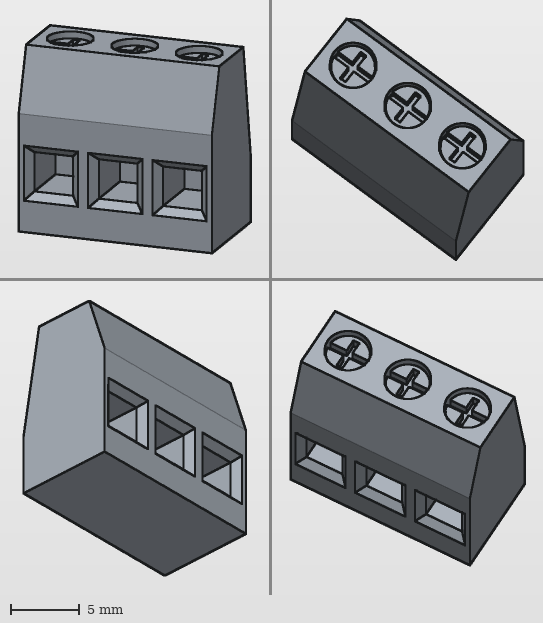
import cadquery as cq

pole_count = 3
length = 15.0
depth = 8.1
height = 13.8
top_width = 5.01
front_shoulder_height = 9.0
back_shoulder_height = 5.0
pole_pitch = length / pole_count

window_size = 4.2
window_throat_size = 3.0
window_center_height = 4.5
window_funnel_depth = (window_size - window_throat_size) / 2
window_depth = 5.0

screw_hole_diameter = 3.4
screw_head_diameter = 3.2
screw_recess_depth = 0.5
screw_gap_depth = 1.5
slot_width = 0.48
slot_depth = 0.75
cross_slot_length = 2.48

pole_positions = [(i - (pole_count - 1) / 2) * pole_pitch for i in range(pole_count)]


def make_body():
    """Tapered profile in the YZ plane, extruded along X."""
    front = -depth / 2
    back = depth / 2
    profile = [
        (front, 0),
        (back, 0),
        (back, back_shoulder_height),
        (top_width / 2, height),
        (-top_width / 2, height),
        (front, front_shoulder_height),
    ]
    return cq.Workplane("YZ").polyline(profile).close().extrude(length / 2, both=True)


def make_window(x):
    """Square funnel that narrows to a straight blind throat."""
    face = cq.Workplane("XZ", origin=(x, -depth / 2, window_center_height))
    funnel = (
        face.rect(window_size, window_size)
        .workplane(offset=-window_funnel_depth)
        .rect(window_throat_size, window_throat_size)
        .loft(ruled=True)
    )
    throat = face.rect(window_throat_size, window_throat_size).extrude(-window_depth)
    return funnel.union(throat)


def make_screw_hole(x):
    """Space around a sunken cross-slotted screw head that is joined to the body below."""
    hole = (
        cq.Workplane("XY", origin=(x, 0, height))
        .circle(screw_hole_diameter / 2)
        .extrude(-screw_gap_depth)
    )
    head_top = cq.Workplane("XY", origin=(x, 0, height - screw_recess_depth))
    head_height = screw_gap_depth - screw_recess_depth
    head = head_top.circle(screw_head_diameter / 2).extrude(-head_height)
    main_slot = head_top.rect(screw_hole_diameter, slot_width).extrude(-slot_depth)
    cross_slot = head_top.rect(slot_width, cross_slot_length).extrude(-slot_depth)
    return hole.cut(head.cut(main_slot).cut(cross_slot))


result = make_body()
for pole_x in pole_positions:
    result = result.cut(make_window(pole_x))
    result = result.cut(make_screw_hole(pole_x))